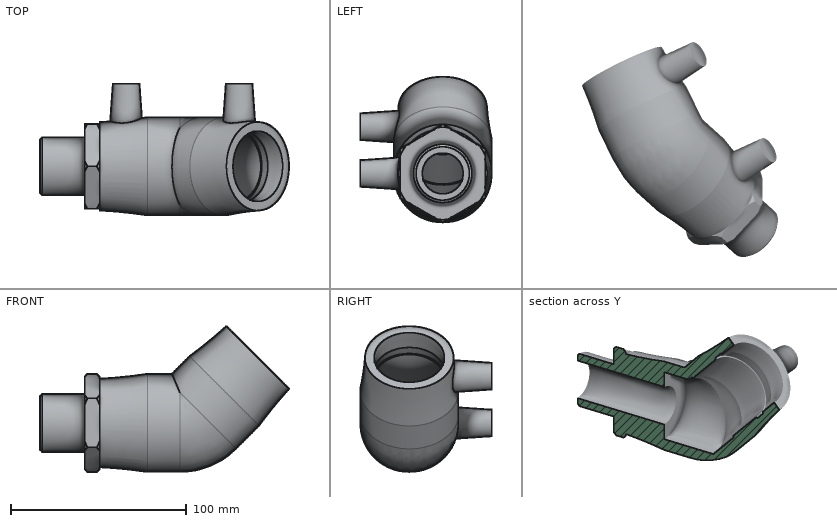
import cadquery as cq
import math

bend_angle = 45
bend_radius = 17.6
arm_radius = 28.0
arm_end_radius = 25.3
arm_mid_radius = 26.3
straight_length = 18.5
taper_length = 27
arm_length = straight_length + taper_length

nut_start = 25.4
nut_end = 34.1
nut_flats = 48.4
nut_face_radius = 26.3
spigot_radius = 33.2 / 2
spigot_chamfer = 1.4
spigot_bore_radius = 23.3 / 2

socket_radius = 40.0 / 2
socket_depth = 41.2
groove_start = 11.9
groove_width = 5.7
relief_depth = 0.9
passage_radius = socket_radius + relief_depth

terminal_height = 47.0
terminal_tip_radius = 7.7
terminal_root_radius = 9.4
terminal_root_height = 22.7
terminal_from_taper = 11.9

bend_start = nut_end + arm_length
half_turn_run = bend_radius * math.tan(math.radians(bend_angle / 2))
axis_crossing = bend_start + half_turn_run


def axial_cylinder(start, end, radius):
    """Cylinder along X between two stations."""
    return cq.Workplane("YZ", origin=(start, 0, 0)).circle(radius).extrude(end - start)


def place_on_branch(shape):
    """Move a shape whose local X origin is the bend exit onto the inclined branch."""
    tilted = shape.translate((half_turn_run, 0, 0)).rotate((0, 0, 0), (0, 1, 0), -bend_angle)
    return tilted.translate((axis_crossing, 0, 0))


def make_arm():
    """Solid arm along +X: a cylinder followed by a curved taper."""
    return (
        cq.Workplane("XZ")
        .lineTo(0, arm_radius)
        .lineTo(straight_length, arm_radius)
        .threePointArc(
            (straight_length + taper_length / 2, arm_mid_radius), (arm_length, arm_end_radius)
        )
        .lineTo(arm_length, 0)
        .close()
        .revolve(360, (0, 0, 0), (1, 0, 0))
    )


def make_bend():
    """Outer part of the bend, swept by the circle segment below the bend axis."""
    half_chord = math.sqrt(arm_radius**2 - bend_radius**2)
    return (
        cq.Workplane("YZ", origin=(bend_start, 0, 0))
        .moveTo(-half_chord, bend_radius)
        .threePointArc((0, -arm_radius), (half_chord, bend_radius))
        .close()
        .revolve(bend_angle, (1.4, bend_radius, 0), (-1.4, bend_radius, 0))
    )


def make_nut():
    """Hexagon with corners on Z, its corners chamfered on both faces."""
    width = nut_end - nut_start
    across_corners = nut_flats / math.cos(math.pi / 6)
    corner_drop = across_corners / 2 - nut_face_radius
    hexagon = (
        cq.Workplane("YZ", origin=(nut_start, 0, 0))
        .transformed(rotate=(0, 0, 90))
        .polygon(6, across_corners)
        .extrude(width)
    )
    corner_trim = axial_cylinder(nut_start, nut_end, across_corners / 2).edges().chamfer(corner_drop)
    return hexagon.intersect(corner_trim)


def make_terminal(x):
    """Tapered tower pointing to +Y, rooted inside the arm wall."""
    return (
        cq.Workplane("XY")
        .moveTo(x, terminal_root_height)
        .lineTo(x + terminal_root_radius, terminal_root_height)
        .lineTo(x + terminal_tip_radius, terminal_height)
        .lineTo(x, terminal_height)
        .close()
        .revolve(360, (x, 0, 0), (x, 1, 0))
    )


def make_passage():
    """Mitred passage through the bend, following both arm axes."""
    main_start = nut_end + taper_length
    length = 2 * arm_length
    mitre = (
        cq.Workplane("XY")
        .box(length, length, 2 * length, centered=(False, True, True))
        .rotate((0, 0, 0), (0, 1, 0), -bend_angle / 2)
        .translate((axis_crossing, 0, 0))
    )
    main = axial_cylinder(main_start, bend_start + arm_length, passage_radius).cut(mitre)
    branch = place_on_branch(axial_cylinder(-arm_length, arm_length - socket_depth, passage_radius))
    return main.union(branch.intersect(mitre))


arm = make_arm()
main_arm = arm.mirror("YZ").translate((bend_start, 0, 0))
spigot = axial_cylinder(0, nut_end, spigot_radius).faces("<X").chamfer(spigot_chamfer)
body = main_arm.union(make_bend()).union(place_on_branch(arm))
body = body.union(make_nut()).union(spigot)

body = body.union(make_terminal(bend_start - straight_length - terminal_from_taper))
body = body.union(place_on_branch(make_terminal(straight_length + terminal_from_taper)))

groove_end = arm_length - groove_start
socket = axial_cylinder(arm_length - socket_depth, arm_length, socket_radius)
groove = axial_cylinder(groove_end - groove_width, groove_end, passage_radius)
spigot_bore = axial_cylinder(0, bend_start, spigot_bore_radius)
result = body.cut(make_passage()).cut(place_on_branch(socket.union(groove))).cut(spigot_bore)